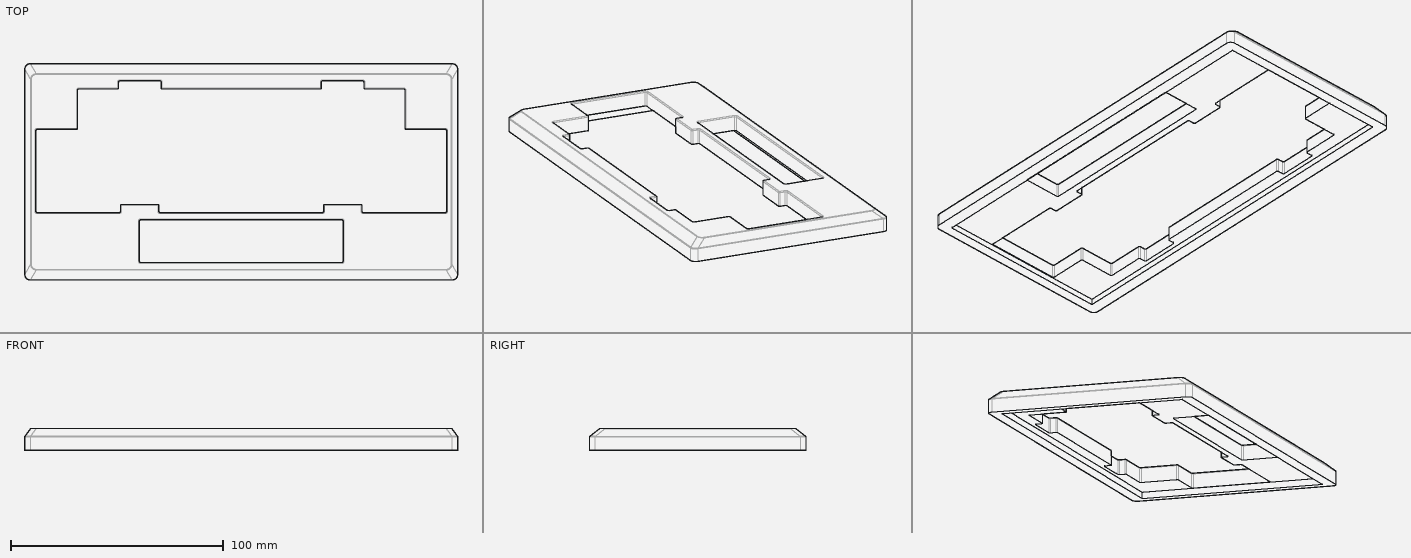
import cadquery as cq

LENGTH = 203.5
WIDTH = 101.7
HEIGHT = 10.4
CORNER_RADIUS = 2.6

RIM_HEIGHT = 6.5

BEVEL_X = 2.8
BEVEL_Y = 4.9

RECESS_DEPTH = 3.0
SKIRT_X = 4.9
SKIRT_Y = 6.0

WIDE_HALF = 96.5
WIDE_BOTTOM = -19.1
WIDE_TOP = 20.0
NARROW_HALF = 77.0
NARROW_TOP = 38.9

NOTCH_INNER = 37.6
NOTCH_OUTER = 57.5
NOTCH_TOP = 42.7

TAB_INNER = 38.7
TAB_OUTER = 56.8
TAB_TOP = -15.3

SLOT_HALF = 47.8
SLOT_BOTTOM = -42.5
SLOT_TOP = -22.5

WINDOW_CORNER_RADIUS = 0.6
EDGE_RADIUS = 0.5


def rounded_rectangle(length, width):
    """Outline of the frame with its rounded corners."""
    return cq.Sketch().rect(length, width).vertices().fillet(CORNER_RADIUS)


def rim():
    """Straight-sided lower part of the frame."""
    return cq.Workplane("XY").placeSketch(rounded_rectangle(LENGTH, WIDTH)).extrude(RIM_HEIGHT)


def bevel():
    """Upper part that narrows from the rim to the top face."""
    base = rounded_rectangle(LENGTH, WIDTH)
    top = rounded_rectangle(LENGTH - 2 * BEVEL_X, WIDTH - 2 * BEVEL_Y)
    rise = cq.Location(cq.Vector(0, 0, HEIGHT - RIM_HEIGHT))
    return cq.Workplane("XY", origin=(0, 0, RIM_HEIGHT)).placeSketch(base, top.moved(rise)).loft()


def recess():
    """Cutter for the pocket in the underside."""
    length = LENGTH - 2 * SKIRT_X
    width = WIDTH - 2 * SKIRT_Y
    return cq.Workplane("XY").rect(length, width).extrude(RECESS_DEPTH)


def large_window():
    """Cutter for the stepped window with its notches and tabs."""
    right_side = [
        (TAB_INNER, WIDE_BOTTOM),
        (TAB_INNER, TAB_TOP),
        (TAB_OUTER, TAB_TOP),
        (TAB_OUTER, WIDE_BOTTOM),
        (WIDE_HALF, WIDE_BOTTOM),
        (WIDE_HALF, WIDE_TOP),
        (NARROW_HALF, WIDE_TOP),
        (NARROW_HALF, NARROW_TOP),
        (NOTCH_OUTER, NARROW_TOP),
        (NOTCH_OUTER, NOTCH_TOP),
        (NOTCH_INNER, NOTCH_TOP),
        (NOTCH_INNER, NARROW_TOP),
    ]
    left_side = [(-x, y) for x, y in reversed(right_side)]
    cutter = cq.Workplane("XY").polyline(right_side + left_side).close().extrude(HEIGHT)
    return cutter.edges("|Z").fillet(WINDOW_CORNER_RADIUS)


def small_window():
    """Cutter for the rectangular window."""
    cutter = cq.Workplane("XY").rect(2 * SLOT_HALF, SLOT_TOP - SLOT_BOTTOM).extrude(HEIGHT)
    cutter = cutter.edges("|Z").fillet(WINDOW_CORNER_RADIUS)
    return cutter.translate((0, (SLOT_TOP + SLOT_BOTTOM) / 2, 0))


def at_height(height):
    """Selector for the edges that lie at the given height."""
    margin = 0.2
    lower_corner = (-LENGTH, -WIDTH, height - margin)
    upper_corner = (LENGTH, WIDTH, height + margin)
    return cq.selectors.BoxSelector(lower_corner, upper_corner)


frame = rim().union(bevel())
frame = frame.edges(at_height(RIM_HEIGHT)).fillet(EDGE_RADIUS)

frame = frame.cut(recess()).cut(large_window()).cut(small_window())

result = frame.faces(">Z").edges().fillet(EDGE_RADIUS)